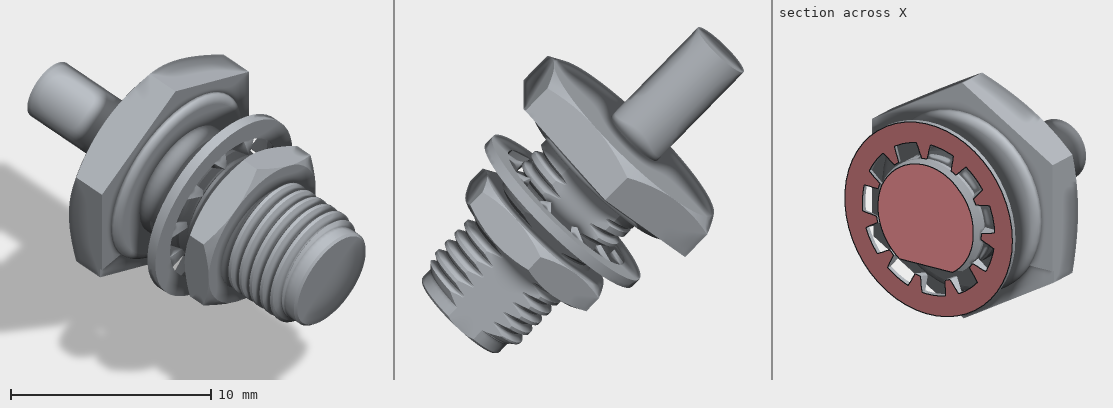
import cadquery as cq
import math

total_length = 19.0

cable_radius = 1.6
flange_start = 6.3

flange_across_flats = 11.0
flange_end = 8.52
corner_chamfer_angle = 30.0

collar_radius = 4.82
collar_start = 8.4
collar_end = 8.9
collar_rounding = 0.45

barrel_radius = 3.1
barrel_end = 18.25
nose_radius = 2.68
nose_chamfer = 0.12
flat_height = 2.54

pitch = 0.7
thread_depth = 0.375
thread_half_angle = 30.0
root_width = pitch / 8
groove_start = 9.7
lead_in_turns = 0.5
lead_in_rise = 0.25
cutter_overreach = 0.1

nut_across_flats = 8.0
nut_start = 12.73
nut_end = 14.35

washer_start = 11.23
washer_end = 11.77
washer_outer_radius = 5.12
washer_inner_radius = 4.02
tooth_count = 11
first_tooth_angle = 20.0
tooth_tip_radius = 3.2
tooth_embedding = 0.12
tooth_root_radius = washer_inner_radius + tooth_embedding
tooth_root_width = 1.0
tooth_root_thickness = 0.4
tooth_tip_width = 1.0
tooth_tip_thickness = 0.3
tooth_twist = -60.0


def cylinder(start, end, radius):
    """Round bar along X."""
    return cq.Workplane("YZ", origin=(start, 0, 0)).circle(radius).extrude(end - start)


def hex_prism(start, end, across_flats, chamfer_both_ends):
    """Hexagon along X with corners on Z and conically turned corners."""
    corner_diameter = across_flats / math.cos(math.radians(30))
    prism = (
        cq.Workplane("YZ", origin=(start, 0, 0))
        .polygon(6, corner_diameter)
        .extrude(end - start)
        .rotate((0, 0, 0), (1, 0, 0), 90)
    )
    flat_radius = across_flats / 2
    corner_radius = corner_diameter / 2
    setback = (corner_radius - flat_radius) * math.tan(math.radians(corner_chamfer_angle))
    outline = cq.Workplane("XY").moveTo(start, 0).lineTo(start, flat_radius)
    outline = outline.lineTo(start + setback, corner_radius)
    if chamfer_both_ends:
        outline = outline.lineTo(end - setback, corner_radius).lineTo(end, flat_radius)
    else:
        outline = outline.lineTo(end, corner_radius)
    turned = outline.lineTo(end, 0).close().revolve(360, (0, 0, 0), (1, 0, 0))
    return prism.intersect(turned)


def groove_cutter(path, start_radius, start_height):
    """Trapezoidal thread profile swept along a helix about Z."""
    reach = thread_depth + cutter_overreach
    root_half = root_width / 2
    outer_half = root_half + reach * math.tan(math.radians(thread_half_angle))
    profile = (
        cq.Workplane("XZ", origin=(start_radius, 0, start_height))
        .moveTo(0, -root_half)
        .lineTo(0, root_half)
        .lineTo(reach, outer_half)
        .lineTo(reach, -outer_half)
        .close()
    )
    return profile.sweep(cq.Workplane(path), isFrenet=True)


def lay_along_x(cutter):
    """Turn a cutter from Z onto X so that its helix starts on the -Y side."""
    return cutter.rotate((0, 0, 0), (0, 1, 0), 90).rotate((0, 0, 0), (1, 0, 0), -90)


def barrel_envelope():
    """Turned outline that ends the thread with a chamfer and leaves the plain nose."""
    barrel_chamfer = barrel_radius - nose_radius
    return (
        cq.Workplane("XY")
        .moveTo(flange_start, 0)
        .lineTo(flange_start, barrel_radius)
        .lineTo(barrel_end - barrel_chamfer, barrel_radius)
        .lineTo(barrel_end, nose_radius)
        .lineTo(total_length - nose_chamfer, nose_radius)
        .lineTo(total_length, nose_radius - nose_chamfer)
        .lineTo(total_length, 0)
        .close()
        .revolve(360, (0, 0, 0), (1, 0, 0))
    )


def threaded_barrel():
    """Plain bar with the helical groove, trimmed to the turned outline."""
    bar = cylinder(flange_start, total_length, barrel_radius)
    root_radius = barrel_radius - thread_depth

    lead_length = lead_in_turns * pitch
    taper = math.degrees(math.atan2(-lead_in_rise, lead_length))
    lead_radius = root_radius + lead_in_rise
    lead_path = cq.Wire.makeHelix(
        pitch, lead_length, lead_radius, cq.Vector(0, 0, groove_start), angle=taper
    )
    lead_in = groove_cutter(lead_path, lead_radius, groove_start)

    full_start = groove_start + lead_length
    full_path = cq.Wire.makeHelix(
        pitch, barrel_end + pitch / 2 - full_start, root_radius, cq.Vector(0, 0, full_start)
    )
    full_depth = groove_cutter(full_path, root_radius, full_start)
    full_depth = full_depth.rotate((0, 0, 0), (0, 0, 1), 360 * lead_in_turns)

    grooved = bar.cut(lay_along_x(full_depth)).cut(lay_along_x(lead_in))
    return grooved.intersect(barrel_envelope())


def flat_cutter():
    """Block that mills the flat along the barrel and into the flange face."""
    size = 2 * flange_across_flats
    block = cq.Workplane("XY").box(size, size, size, centered=(False, True, False))
    return block.translate((collar_start, 0, -flat_height - size))


def make_connector():
    flange = hex_prism(flange_start, flange_end, flange_across_flats, False)
    core = flange.union(threaded_barrel()).cut(flat_cutter())
    collar = cylinder(collar_start, collar_end, collar_radius)
    collar = collar.faces(">X").edges().fillet(collar_rounding)
    cable = cylinder(0, flange_start, cable_radius)
    nut = hex_prism(nut_start, nut_end, nut_across_flats, True)
    return core.union(collar).union(cable).union(nut)


def make_tooth():
    """Twisted tooth on the -Y side, narrowing from the ring towards the axis."""
    middle = (washer_start + washer_end) / 2
    length = tooth_root_radius - tooth_tip_radius
    return (
        cq.Workplane("XZ", origin=(middle, -tooth_root_radius, 0))
        .rect(tooth_root_thickness, tooth_root_width)
        .workplane(offset=-length)
        .transformed(rotate=(0, 0, tooth_twist))
        .rect(tooth_tip_thickness, tooth_tip_width)
        .loft(ruled=True)
    )


def make_lock_washer():
    ring = cylinder(washer_start, washer_end, washer_outer_radius).cut(
        cylinder(washer_start, washer_end, washer_inner_radius)
    )
    tooth = make_tooth()
    for index in range(tooth_count):
        angle = first_tooth_angle + index * 360 / tooth_count
        ring = ring.union(tooth.rotate((0, 0, 0), (1, 0, 0), -angle))
    return ring


connector = make_connector()
lock_washer = make_lock_washer()
result = cq.Compound.makeCompound([connector.val(), lock_washer.val()])